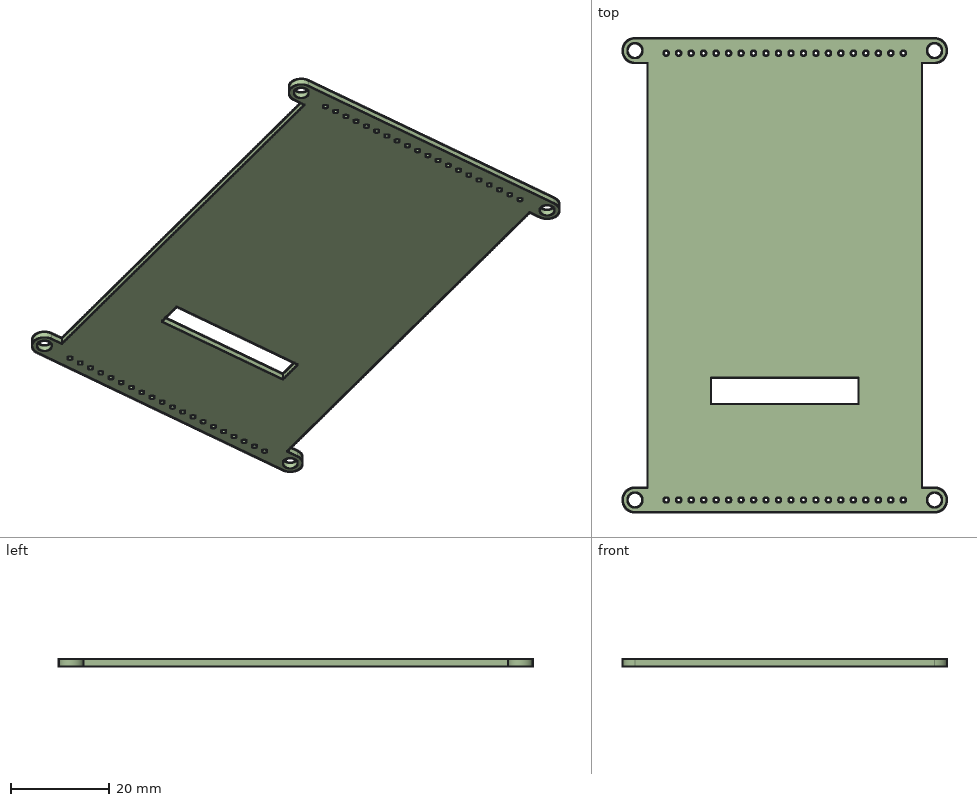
import cadquery as cq

PITCH = 2.54
THICKNESS = 1.6

body_width = 22 * PITCH
overall_width = 26 * PITCH
overall_length = 38 * PITCH
ear_width = 2 * PITCH
ear_radius = ear_width / 2

mount_diameter = 3.0
mount_x = overall_width / 2 - ear_radius
mount_y = overall_length / 2 - ear_radius

pin_count = 20
pin_diameter = 1.0
upper_row_y = 45.2
lower_row_y = -mount_y

window_width = 30.0
window_length = 5.3
window_y = -23.5


def make_strip(y):
    """Round-ended strip across one end of the plate, forming two ears."""
    return (
        cq.Workplane("XY")
        .center(0, y)
        .slot2D(overall_width, ear_width)
        .extrude(THICKNESS)
    )


def make_blank():
    """Rectangular plate with an eared strip at each end."""
    body = cq.Workplane("XY").rect(body_width, overall_length).extrude(THICKNESS)
    for y in (mount_y, -mount_y):
        body = body.union(make_strip(y))
    return body


def make_mount_holes():
    """Cutters for the four mounting holes."""
    return (
        cq.Workplane("XY")
        .rect(2 * mount_x, 2 * mount_y, forConstruction=True)
        .vertices()
        .circle(mount_diameter / 2)
        .extrude(THICKNESS)
    )


def make_pin_row(y):
    """Cutters for one row of header pin holes."""
    return (
        cq.Workplane("XY")
        .center(0, y)
        .rarray(PITCH, 1, pin_count, 1)
        .circle(pin_diameter / 2)
        .extrude(THICKNESS)
    )


def make_window():
    """Cutter for the rectangular window."""
    return (
        cq.Workplane("XY")
        .center(0, window_y)
        .rect(window_width, window_length)
        .extrude(THICKNESS)
    )


result = make_blank().cut(make_mount_holes()).cut(make_window())
for row_y in (upper_row_y, lower_row_y):
    result = result.cut(make_pin_row(row_y))